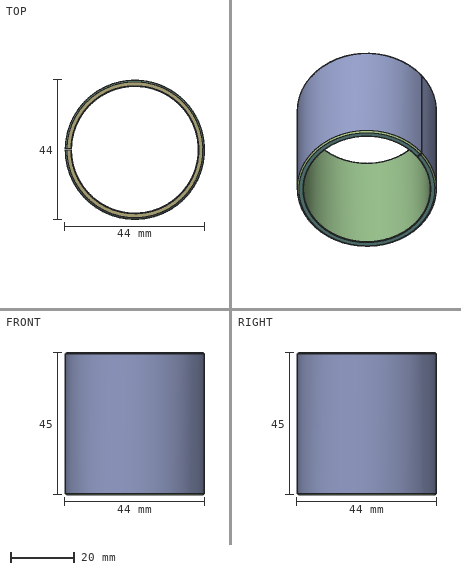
import cadquery as cq

length = 45.0
outer_diameter = 44.0
inner_diameter = 40.0
outer_bevel = 0.55
inner_bevel = 0.22
slit_angle = 1.0

outer_radius = outer_diameter / 2
inner_radius = inner_diameter / 2
sleeve_angle = 360 - slit_angle


def make_wall_section():
    """Wall section on the -X side, bevelled at all four corners."""
    section = [
        (-inner_radius, inner_bevel),
        (-inner_radius - inner_bevel, 0),
        (-outer_radius + outer_bevel, 0),
        (-outer_radius, outer_bevel),
        (-outer_radius, length - outer_bevel),
        (-outer_radius + outer_bevel, length),
        (-inner_radius - inner_bevel, length),
        (-inner_radius, length - inner_bevel),
    ]
    return cq.Workplane("XZ").polyline(section).close()


result = make_wall_section().revolve(sleeve_angle, (0, 0), (0, 1))